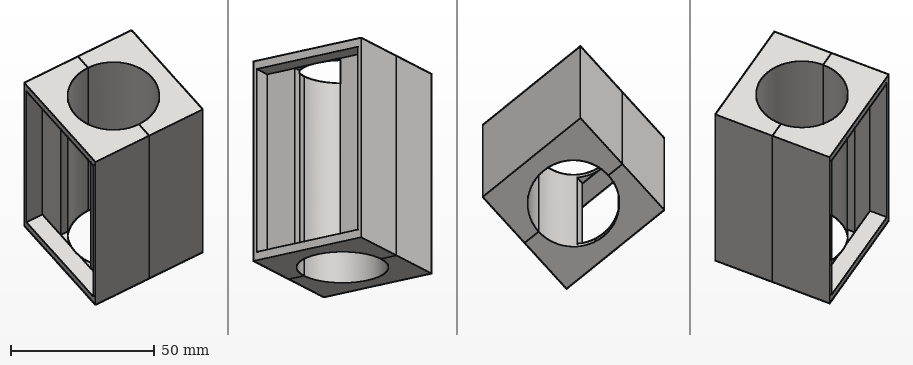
import cadquery as cq

width = 45.0
half_depth = width / 2
height = 74.0
bore_diameter = 32.05

side_wall = 1.5
end_wall = 3.1
recess_depth = 6.65
slot_width = 18.95
slot_end_step = 0.1

recess_width = width - 2 * side_wall
recess_height = height - 2 * end_wall
slot_height = recess_height + 2 * slot_end_step


def centred_box(size_x, size_z, y_start, y_end):
    """Box centred on X and Z that spans y_start to y_end."""
    size_y = y_end - y_start
    return cq.Workplane("XY").box(size_x, size_y, size_z).translate((0, y_start + size_y / 2, 0))


def half_block(y_start, y_end):
    """Half of the block with its half of the through bore."""
    bore = cq.Workplane("XY").circle(bore_diameter / 2).extrude(height).translate((0, 0, -height / 2))
    return centred_box(width, height, y_start, y_end).cut(bore)


def make_front_half():
    """Front half with a shallow recess and a slot through to the bore."""
    recess = centred_box(recess_width, recess_height, -half_depth, -half_depth + recess_depth)
    slot = centred_box(slot_width, slot_height, -half_depth + recess_depth, 0)
    return half_block(-half_depth, 0).cut(recess).cut(slot)


def make_back_half():
    """Plain back half that closes the bore."""
    return half_block(0, half_depth)


front_half = make_front_half()
back_half = make_back_half()

result = cq.Compound.makeCompound([front_half.val(), back_half.val()])